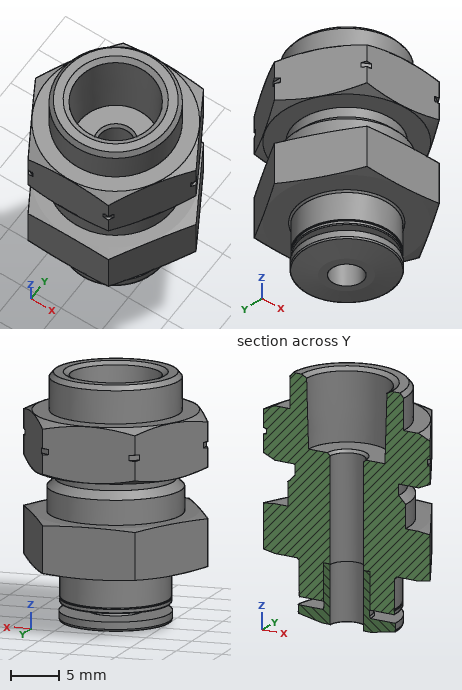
import cadquery as cq
import math

across_flats = 17.45
across_corners = across_flats / math.cos(math.radians(30))
hex_face_diameter = 17.37

total_height = 26.8
upper_hex_top = 22.78
upper_hex_bottom = 16.78
neck_bottom = 15.57
shoulder_top = 14.75
lower_hex_top = 12.1
lower_hex_bottom = 6.6
sleeve_top = 6.38
body_bottom = 2.4

upper_hex_drop = 0.62
lower_hex_top_drop = 0.15
lower_hex_bottom_drop = 0.27

socket_diameter = 13.8
socket_face_diameter = 12.92
socket_chamfer_height = 0.5
neck_diameter = 12.6
shoulder_diameter = 14.28
sleeve_diameter = 11.6
sleeve_flare_diameter = 12.03
sleeve_edge_chamfer = 0.1

fine_groove_top = 3.0
fine_groove_bottom = 2.87
fine_groove_depth = 0.08

notch_depth = 0.32
notch_mouth_height = 0.7
notch_floor_height = 0.54

bore_mouth_diameter = 10.88
bore_top_diameter = 9.65
bore_floor_diameter = 9.17
bore_chamfer_height = 0.35
bore_floor = 18.75
passage_diameter = 4.0
passage_mouth_diameter = 4.6
passage_chamfer_height = (passage_mouth_diameter - passage_diameter) / 2

stem_diameter = 5.57
stem_top = lower_hex_bottom
stem_flare_diameter = 5.8
stem_flare_top = 1.8
disc_diameter = 11.8
disc_top = 1.55
disc_edge_top = 0.78
disc_edge_bottom = 0.55
disc_edge_inset = 0.08
disc_face_diameter = 5.9


def revolve_profile(points):
    """Revolve (diameter, height) points about the Z axis, closing the outline along the axis."""
    outline = [(0, points[0][1])]
    outline += [(diameter / 2, z) for diameter, z in points]
    outline.append((0, points[-1][1]))
    return cq.Workplane("XZ").polyline(outline).close().revolve(360, (0, 0, 0), (0, 1, 0))


def cylinder(diameter, bottom, top):
    return cq.Workplane("XY").workplane(offset=bottom).circle(diameter / 2).extrude(top - bottom)


def chamfered_hex(bottom, top, bottom_drop, top_drop):
    """Hexagon with two corners on the X axis, its ends turned to cones."""
    prism = cq.Workplane("XY").workplane(offset=bottom).polygon(6, across_corners).extrude(top - bottom)
    turned_envelope = revolve_profile([
        (hex_face_diameter, bottom),
        (across_corners, bottom + bottom_drop),
        (across_corners, top - top_drop),
        (hex_face_diameter, top),
    ])
    return prism.intersect(turned_envelope)


def corner_notch(angle):
    """Cutter for a straight notch with sloping walls across one hexagon corner."""
    middle = (upper_hex_top + upper_hex_bottom) / 2
    corner = across_corners / 2
    floor = corner - notch_depth
    half_mouth = notch_mouth_height / 2
    half_floor = notch_floor_height / 2
    cutter_length = across_flats / 4
    section = [
        (floor, middle - half_floor),
        (corner, middle - half_mouth),
        (corner, middle + half_mouth),
        (floor, middle + half_floor),
    ]
    cutter = cq.Workplane("XZ").polyline(section).close().extrude(cutter_length / 2, both=True)
    return cutter.rotate((0, 0, 0), (0, 0, 1), angle)


def make_body_outside():
    upper_part = revolve_profile([
        (shoulder_diameter, lower_hex_top),
        (shoulder_diameter, shoulder_top),
        (neck_diameter, neck_bottom),
        (neck_diameter, upper_hex_bottom),
        (socket_diameter, upper_hex_bottom),
        (socket_diameter, total_height - socket_chamfer_height),
        (socket_face_diameter, total_height),
    ])
    groove_diameter = sleeve_diameter - 2 * fine_groove_depth
    sleeve = revolve_profile([
        (sleeve_diameter - 2 * sleeve_edge_chamfer, body_bottom),
        (sleeve_diameter, body_bottom + sleeve_edge_chamfer),
        (sleeve_diameter, fine_groove_bottom),
        (groove_diameter, fine_groove_bottom),
        (groove_diameter, fine_groove_top),
        (sleeve_diameter, fine_groove_top),
        (sleeve_diameter, sleeve_top),
        (sleeve_flare_diameter, lower_hex_bottom),
    ])
    upper_hex = chamfered_hex(upper_hex_bottom, upper_hex_top, upper_hex_drop, upper_hex_drop)
    for corner_index in range(6):
        upper_hex = upper_hex.cut(corner_notch(60 * corner_index))
    lower_hex = chamfered_hex(lower_hex_bottom, lower_hex_top, lower_hex_bottom_drop, lower_hex_top_drop)
    return lower_hex.union(upper_part).union(upper_hex).union(sleeve)


def make_body():
    bore = revolve_profile([
        (passage_diameter, body_bottom),
        (passage_diameter, bore_floor - passage_chamfer_height),
        (passage_mouth_diameter, bore_floor),
        (bore_floor_diameter, bore_floor),
        (bore_top_diameter, total_height - bore_chamfer_height),
        (bore_mouth_diameter, total_height),
    ])
    stem_seat = cylinder(stem_diameter, body_bottom, stem_top)
    return make_body_outside().cut(bore).cut(stem_seat)


def make_collar():
    blank = revolve_profile([
        (disc_face_diameter, 0),
        (disc_diameter - 2 * disc_edge_inset, disc_edge_bottom),
        (disc_diameter, disc_edge_top),
        (disc_diameter, disc_top),
        (stem_flare_diameter, disc_top),
        (stem_diameter, stem_flare_top),
        (stem_diameter, stem_top),
    ])
    return blank.cut(cylinder(passage_diameter, 0, stem_top))


body = make_body()
collar = make_collar()

result = cq.Compound.makeCompound([body.solids().val(), collar.solids().val()])